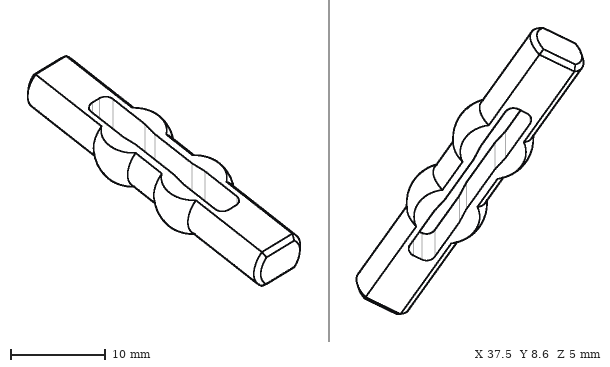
import cadquery as cq

length = 37.5
height = 5.0
shaft_diameter = 6.6
end_chamfer = 0.52
bulge_diameter = 8.6
bulge_spacing = 9.7

slot_length = 21.98
slot_width = 3.05
slot_corner_radius = 1.0
waist_width = 2.6
waist_length = 6.0
taper_span = bulge_spacing


def make_shaft():
    """Round bar with flats on the top and bottom and chamfered ends."""
    bar = cq.Workplane("YZ").circle(shaft_diameter / 2).extrude(length / 2, both=True)
    flats = cq.Workplane("XY").box(length, shaft_diameter, height)
    return bar.intersect(flats).faces("<X or >X").chamfer(end_chamfer)


def make_bulge(x):
    """Sphere on the bar axis, cut off level with the top and bottom flats."""
    ball = cq.Workplane("XY").sphere(bulge_diameter / 2)
    flats = cq.Workplane("XY").box(bulge_diameter, bulge_diameter, height)
    return ball.intersect(flats).translate((x, 0, 0))


def make_slot():
    """Vertical slot with rounded corners that tapers to a narrower waist."""
    quarter = [
        (slot_length / 2, slot_width / 2),
        (taper_span / 2, slot_width / 2),
        (waist_length / 2, waist_width / 2),
    ]
    back_side = quarter + [(-x, y) for x, y in reversed(quarter)]
    front_side = [(x, -y) for x, y in reversed(back_side)]
    outline = cq.Workplane("XY").polyline(back_side + front_side).close()
    slot = outline.extrude(height / 2, both=True)
    return slot.faces("<X or >X").edges("|Z").fillet(slot_corner_radius)


result = make_shaft()
for side in (-1, 1):
    result = result.union(make_bulge(side * bulge_spacing / 2))
result = result.cut(make_slot())